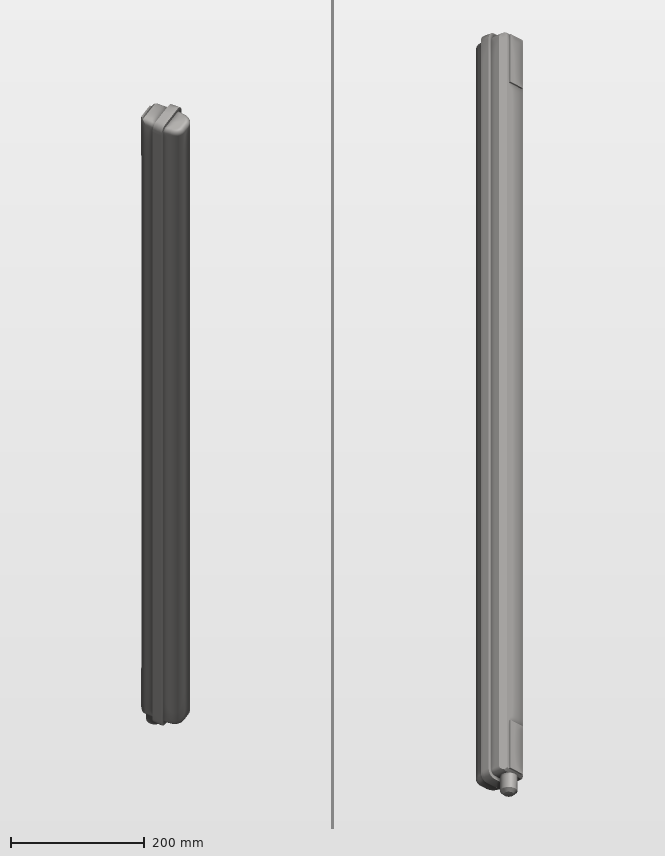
import cadquery as cq
import math

total_length = 1303.0
width = 61.0
nose_x = 35.0
top_z = total_length / 2
bottom_z = -total_length / 2

rim_back_x = -7.0
joint_x = 5.0
rim_front_x = 9.0
rim_bottom_z = -628.0
rim_radius = 13.0
rim_height = top_z - rim_bottom_z
rim_mid_z = (top_z + rim_bottom_z) / 2

rim_side_step = 5.0
rim_end_step = 7.0
body_width = width - 2 * rim_side_step
body_height = rim_height - 2 * rim_end_step
body_radius = 8.0
body_bottom_z = rim_bottom_z + rim_end_step

back_x = -33.0
bevel_x = -22.0
bevel_angle = 31.5
draft_angle = 3.2
end_chamfer = 4.0

pad_thickness = 3.1
pad_width = 27.0
pad_length = 82.0

nose_radius = 17.0
nose_flat_half = 7.0
lens_side_angle = 8.0

connector_diameter = 26.0
connector_x = -20.0
connector_chamfer = 5.0


def upright_slab(section):
    """Extrude an XY section over the height of the main bodies."""
    return section.extrude(body_height).translate((0, 0, body_bottom_z))


def rounded_plate(start_x, length, plate_width, plate_height, radius, taper=0.0):
    """Plate with rounded corners in YZ, extruded along +X or, for a negative length, along -X."""
    outline = cq.Sketch().rect(plate_width, plate_height).vertices().fillet(radius)
    plane = cq.Plane(origin=(start_x, 0, rim_mid_z), xDir=(0, 1, 0), normal=(1, 0, 0))
    return cq.Workplane(plane).placeSketch(outline).extrude(length, taper=taper)


def make_pad(center_z):
    """Flat mounting pad standing on the back of the housing."""
    return (
        cq.Workplane("XY")
        .box(pad_thickness, pad_width, pad_length)
        .translate((back_x - pad_thickness / 2, 0, center_z))
    )


def make_housing():
    """Drafted, bevelled housing with a rim at the joint and a pad near each end."""
    slope = math.tan(math.radians(draft_angle))
    half_width = body_width / 2
    unbevelled_half_width = half_width - (joint_x - back_x) * slope
    bevel_half_width = half_width - (joint_x - bevel_x) * slope
    back_half_width = bevel_half_width - (bevel_x - back_x) * math.tan(math.radians(bevel_angle))

    wedge = cq.Workplane("XY").polyline([
        (joint_x, -half_width),
        (joint_x, half_width),
        (back_x, unbevelled_half_width),
        (back_x, -unbevelled_half_width),
    ]).close()
    body = upright_slab(wedge)
    body = body.faces(">Z or <Z").edges("not |Y").fillet(body_radius)

    bevelled = cq.Workplane("XY").polyline([
        (joint_x, -width),
        (joint_x, width),
        (bevel_x, width),
        (bevel_x, bevel_half_width),
        (back_x, back_half_width),
        (back_x, -back_half_width),
        (bevel_x, -bevel_half_width),
        (bevel_x, -width),
    ]).close()
    body = body.intersect(upright_slab(bevelled))
    body = body.faces("<X").edges("|Y").chamfer(end_chamfer)

    rim = rounded_plate(joint_x, rim_back_x - joint_x, width, rim_height, rim_radius, draft_angle)
    body = body.union(rim)

    pad_offset = body_height / 2 - end_chamfer - pad_length / 2
    for side in (-1, 1):
        body = body.union(make_pad(rim_mid_z + side * pad_offset))
    return body


def make_lens():
    """Flanged lens with slanted sides that run tangentially into the round corners of its nose."""
    angle = math.radians(lens_side_angle)
    corner_x = nose_x - nose_radius
    tangent_x = corner_x + nose_radius * math.sin(angle)
    tangent_y = nose_flat_half + nose_radius * math.cos(angle)
    root_y = tangent_y + (tangent_x - joint_x) * math.tan(angle)
    mid_angle = (math.pi / 2 + angle) / 2
    mid_x = corner_x + nose_radius * math.sin(mid_angle)
    mid_y = nose_flat_half + nose_radius * math.cos(mid_angle)

    section = (
        cq.Workplane("XY")
        .moveTo(joint_x, -root_y)
        .lineTo(tangent_x, -tangent_y)
        .threePointArc((mid_x, -mid_y), (nose_x, -nose_flat_half))
        .lineTo(nose_x, nose_flat_half)
        .threePointArc((mid_x, mid_y), (tangent_x, tangent_y))
        .lineTo(joint_x, root_y)
        .close()
    )
    body = upright_slab(section).faces("<Z or >Z").edges("not <X").fillet(body_radius)
    flange = rounded_plate(joint_x, rim_front_x - joint_x, width, rim_height, rim_radius)
    return body.union(flange)


def make_connector():
    """Round connector standing out of the bottom end of the housing."""
    return (
        cq.Workplane("XY", origin=(connector_x, 0, bottom_z))
        .circle(connector_diameter / 2)
        .extrude(body_bottom_z - bottom_z)
        .faces("<Z")
        .chamfer(connector_chamfer)
    )


housing = make_housing()
lens = make_lens()
connector = make_connector()

result = cq.Compound.makeCompound([housing.solids().val(), lens.solids().val(), connector.solids().val()])